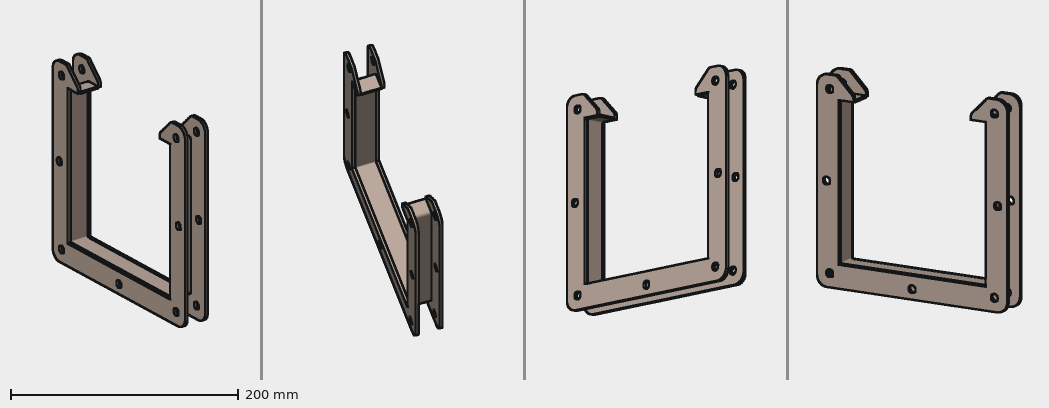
import cadquery as cq

size = 193.7
depth = 25.4
half = size / 2

plate_thickness = 3.1
rail_width = 21.9
corner_radius = 10.0
hook_length = 37.0
hook_top_length = 20.3
hook_shoulder_radius = 3.0
hook_tip_radius = 5.0
hole_diameter = 7.2
corner_hole_inset = 13.0
middle_hole_inset = 9.7

strip_outer_inset = 20.7
strip_thickness = 2.0
strip_bend_radius = 3.0
strip_inner_radius = strip_bend_radius - strip_thickness
strip_depth = depth - 2 * plate_thickness

opening_half = half - rail_width
hook_tip_x = half - hook_length
hook_slope_x = half - hook_top_length
hook_tip_z = half - (hook_slope_x - hook_tip_x)


def extrude_along_y(profile, front_y, length):
    """Extrude an XZ profile from front_y towards +Y."""
    return profile.extrude(-length).translate((0, front_y, 0))


def mirrored_outline(right_points):
    """Close an XZ outline from its right half, listed from bottom to top and back."""
    left_points = [(-x, z) for x, z in reversed(right_points)]
    return cq.Workplane("XZ").polyline(right_points + left_points).close()


def edges_at(body, places):
    """Select the edges along Y that pass through the given (x, z) places, on both sides."""
    tolerance = 0.02
    selector = None
    for x, z in places:
        for side in (-1, 1):
            box = cq.selectors.BoxSelector(
                (side * x - tolerance, -depth, z - tolerance),
                (side * x + tolerance, depth, z + tolerance),
            )
            selector = box if selector is None else selector + box
    return body.edges("|Y").edges(selector)


def make_plate(front_y):
    """Flat C-shaped plate with hooked upper ends and seven bolt holes."""
    outline = mirrored_outline([
        (half, -half),
        (half, half),
        (hook_slope_x, half),
        (hook_tip_x, hook_tip_z),
        (hook_tip_x, opening_half),
        (opening_half, opening_half),
        (opening_half, -opening_half),
    ])
    plate = extrude_along_y(outline, front_y, plate_thickness)
    plate = edges_at(plate, [(half, -half), (half, half)]).fillet(corner_radius)
    plate = edges_at(plate, [(hook_slope_x, half)]).fillet(hook_shoulder_radius)
    plate = edges_at(plate, [(hook_tip_x, hook_tip_z)]).fillet(hook_tip_radius)

    corner = half - corner_hole_inset
    middle = half - middle_hole_inset
    hole_places = [(x, z) for x in (-corner, corner) for z in (-corner, corner)]
    hole_places += [(-middle, 0), (middle, 0), (0, -middle)]
    hole_profile = cq.Workplane("XZ").pushPoints(hole_places).circle(hole_diameter / 2)
    return plate.cut(extrude_along_y(hole_profile, front_y, plate_thickness))


def make_strip():
    """Thin strip bent round the opening, ending in the two hooks."""
    outer = half - strip_outer_inset
    inner = outer - strip_thickness
    outline = mirrored_outline([
        (outer, -outer),
        (outer, outer),
        (hook_tip_x, outer),
        (hook_tip_x, inner),
        (inner, inner),
        (inner, -inner),
    ])
    strip = extrude_along_y(outline, -strip_depth / 2, strip_depth)
    strip = edges_at(strip, [(outer, -outer), (outer, outer)]).fillet(strip_bend_radius)
    return edges_at(strip, [(inner, -inner), (inner, inner)]).fillet(strip_inner_radius)


plates = [make_plate(front_y) for front_y in (-depth / 2, strip_depth / 2)]
strip = make_strip()

result = cq.Compound.makeCompound([*[plate.val() for plate in plates], strip.val()])